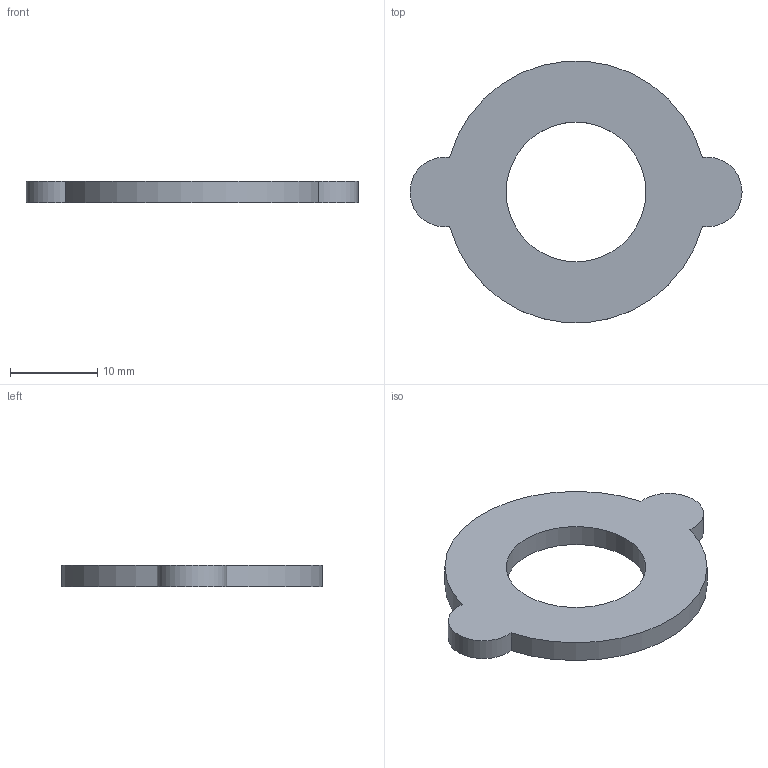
import cadquery as cq

thickness = 2.5
ring_diameter = 30.0
bore_diameter = 16.0
tab_diameter = 8.0
tab_offset = ring_diameter / 2


def disc(diameter, x=0.0):
    """Flat disc of the part's thickness, centred at (x, 0) and resting on Z = 0."""
    return cq.Workplane("XY").center(x, 0).circle(diameter / 2).extrude(thickness)


body = disc(ring_diameter)
for side in (-1, 1):
    body = body.union(disc(tab_diameter, side * tab_offset))

result = body.cut(disc(bore_diameter))